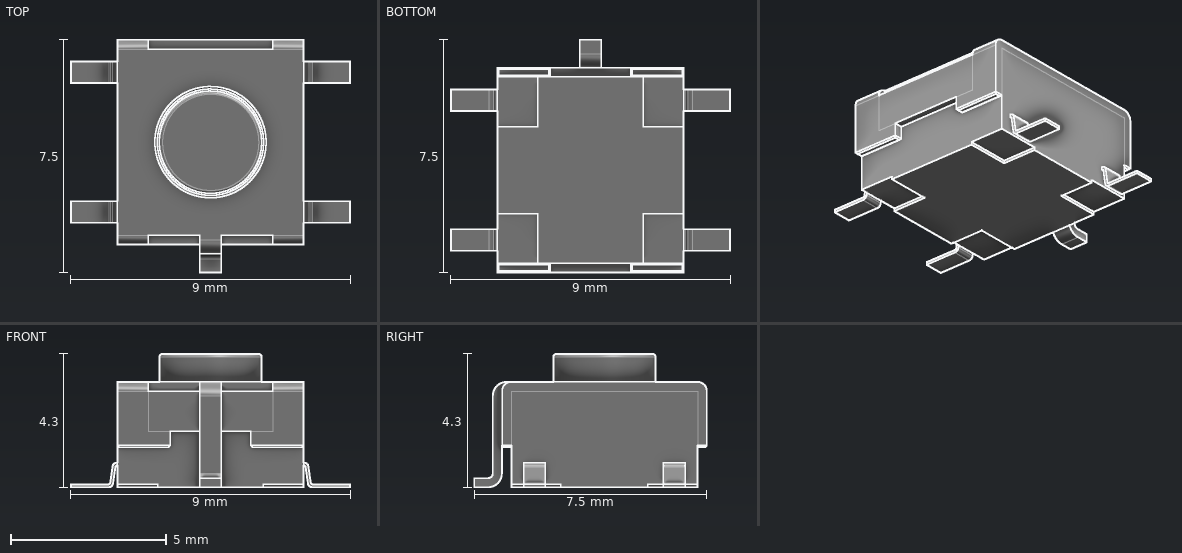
import cadquery as cq
import math

body_half = 3.0
cover_thickness = 0.3
cover_top = 3.4
body_top = cover_top - cover_thickness
relief_height = 0.1
relief_inner_x = 1.7
relief_inner_y = 1.4

cover_half_y = body_half + cover_thickness
flap_bottom = 1.3
flap_edge_chamfer = 0.05
window_half_x = 2.0
window_bottom = 1.8
hook_half_gap = 1.3

button_diameter = 3.3
button_top = 4.3
button_fillet = 0.1
hole_diameter = 3.43
hole_chamfer = 0.08

terminal_width = 0.7
terminal_inner_bend = 0.15
terminal_outer_bend = terminal_inner_bend + cover_thickness
terminal_face_y = -(cover_half_y + cover_thickness)
terminal_tip_y = -4.2

lead_width = 0.7
lead_thickness = 0.1
lead_center_y = 2.25
lead_top = 0.8
lead_shoulder_x = 3.14
lead_heel_x = 3.24
lead_tip_x = 4.5
lead_inner_bend = 0.05
lead_outer_bend = lead_inner_bend + lead_thickness
lead_embed = 0.1


def box(x_range, y_range, z_range):
    """Axis-aligned block between the given limits."""
    size = [high - low for low, high in (x_range, y_range, z_range)]
    corner = (x_range[0], y_range[0], z_range[0])
    return cq.Workplane("XY").box(*size, centered=False).translate(corner)


def make_housing():
    housing = box((-body_half, body_half), (-body_half, body_half), (0, body_top))
    window_block = box(
        (-window_half_x, window_half_x), (-cover_half_y, cover_half_y), (window_bottom, body_top)
    )
    relief = box((relief_inner_x, body_half), (relief_inner_y, body_half), (0, relief_height))
    for right_relief in (relief, relief.mirror("XZ")):
        housing = housing.cut(right_relief).cut(right_relief.mirror("YZ"))
    return housing.union(window_block, clean=False)


def make_cover():
    cover = box((-body_half, body_half), (-cover_half_y, cover_half_y), (flap_bottom, cover_top))
    cover = cover.edges("|X and >Z").fillet(cover_thickness)
    cover = cover.cut(
        box((-body_half, body_half), (-body_half, body_half), (flap_bottom, body_top))
    )
    for side in (-1, 1):
        flap_y = sorted((side * body_half, side * cover_half_y))
        window = box((-window_half_x, window_half_x), flap_y, (window_bottom, cover_top))
        hook_gap = box((-hook_half_gap, hook_half_gap), flap_y, (flap_bottom, window_bottom))
        cover = cover.cut(window).cut(hook_gap)
    cover = cover.faces("<Z").edges().chamfer(flap_edge_chamfer)

    hole = cq.Workplane("XY").workplane(offset=body_top).circle(hole_diameter / 2)
    cover = cover.cut(hole.extrude(cover_thickness))
    return cover.faces(">Z").edges("%CIRCLE").chamfer(hole_chamfer)


def make_button():
    button = cq.Workplane("XY").workplane(offset=body_top).circle(button_diameter / 2)
    return button.extrude(button_top - body_top).faces(">Z").edges().fillet(button_fillet)


def make_ground_terminal():
    """Strip leaving the cover, bent down and then outward into a foot."""
    inner_y = terminal_face_y + cover_thickness
    outline = [
        (-body_half, cover_top),
        (terminal_face_y, cover_top),
        (terminal_face_y, cover_thickness),
        (terminal_tip_y, cover_thickness),
        (terminal_tip_y, 0),
        (inner_y, 0),
        (inner_y, body_top),
        (-body_half, body_top),
    ]
    strip = cq.Workplane("YZ").polyline(outline).close().extrude(terminal_width / 2, both=True)
    bends = [
        ((terminal_face_y, cover_top), terminal_outer_bend),
        ((terminal_face_y, cover_thickness), terminal_inner_bend),
        ((inner_y, 0), terminal_outer_bend),
        ((inner_y, body_top), terminal_inner_bend),
    ]
    for (y, z), radius in bends:
        strip = strip.edges(cq.selectors.NearestToPointSelector((0, y, z))).fillet(radius)
    return strip


def make_lead():
    """Lead on the +X, +Y corner: short shoulder, steep leg and flat foot."""
    leg_angle = math.atan2(lead_top - lead_thickness, lead_heel_x - lead_shoulder_x)
    miter = lead_thickness * math.tan(leg_angle / 2)
    shoulder_outer = (lead_shoulder_x, lead_top)
    shoulder_inner = (lead_shoulder_x - miter, lead_top - lead_thickness)
    heel_inner = (lead_heel_x, lead_thickness)
    heel_outer = (lead_heel_x - miter, 0)
    root_x = body_half - lead_embed
    outline = [
        (root_x, lead_top),
        shoulder_outer,
        heel_inner,
        (lead_tip_x, lead_thickness),
        (lead_tip_x, 0),
        heel_outer,
        shoulder_inner,
        (root_x, lead_top - lead_thickness),
    ]
    strip = cq.Workplane("XZ").polyline(outline).close().extrude(lead_width / 2, both=True)
    bends = [
        (shoulder_outer, lead_outer_bend),
        (shoulder_inner, lead_inner_bend),
        (heel_inner, lead_inner_bend),
        (heel_outer, lead_outer_bend),
    ]
    for (x, z), radius in bends:
        strip = strip.edges(cq.selectors.NearestToPointSelector((x, 0, z))).fillet(radius)
    return strip.translate((0, lead_center_y, 0))


metal_cover = make_cover().union(make_ground_terminal())
result = make_housing().union(metal_cover, clean=False)
result = result.union(make_button(), clean=False)
lead = make_lead()
for lead_pair in (lead, lead.mirror("XZ")):
    result = result.union(lead_pair, clean=False)
    result = result.union(lead_pair.mirror("YZ"), clean=False)